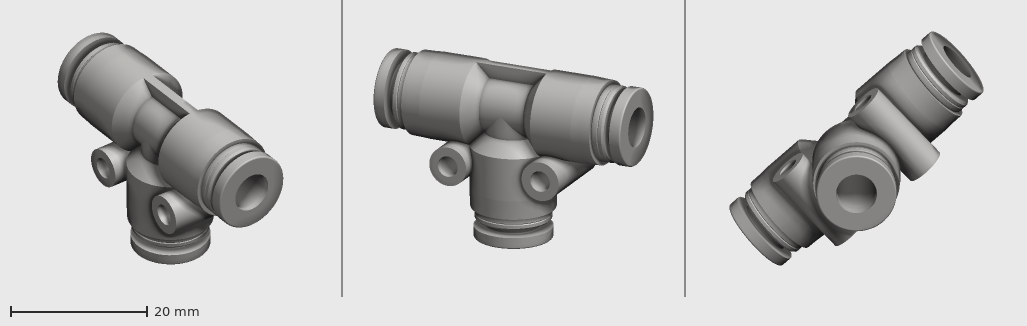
import cadquery as cq
import math

arm_length = 20.05
bore_diameter = 6.0

flange_radius = 5.9
flange_thickness = 1.75
flange_edge_fillet = 0.25
neck_radius = 4.05
neck_length = 1.1
neck_root_fillet = 0.2

ring_radius = 5.75
ring_length = 1.95
ring_edge_chamfer = 0.3
groove_depth = 0.12
groove_width = 2 * groove_depth
groove_setback = 0.8

body_diameter = 13.0
body_radius = body_diameter / 2
body_mouth_radius = 6.37
mouth_taper_length = 2.95
waist_radius = 4.35
body_inner_end = 5.74

web_thickness = 1.5

lug_diameter = 6.0
lug_hole_diameter = 3.2
lug_length = 13.5
lug_x = 7.5
lug_z = -8.2

flange_inner = arm_length - flange_thickness
ring_outer = flange_inner - neck_length
ring_inner = ring_outer - ring_length
groove_outer = ring_outer - groove_setback
groove_inner = groove_outer - groove_width
taper_start = ring_inner - mouth_taper_length
shoulder_end = body_inner_end - (body_radius - waist_radius)


def fillet_midpoint(center_radius, center_station, size, radial_side, axial_side):
    """Middle of a quarter-circle fillet, on the given side of its center."""
    offset = size * math.cos(math.pi / 4)
    return (center_radius + radial_side * offset, center_station + axial_side * offset)


def make_arm():
    """Solid arm revolved about Z, pointing to +Z and starting at the waist."""
    root_mid = fillet_midpoint(
        neck_radius + neck_root_fillet, flange_inner - neck_root_fillet, neck_root_fillet, -1, 1
    )
    flange_mid = fillet_midpoint(
        flange_radius - flange_edge_fillet, arm_length - flange_edge_fillet, flange_edge_fillet, 1, 1
    )
    profile = (
        cq.Workplane("XZ")
        .moveTo(0, shoulder_end)
        .lineTo(waist_radius, shoulder_end)
        .lineTo(body_radius, body_inner_end)
        .lineTo(body_radius, taper_start)
        .lineTo(body_mouth_radius, ring_inner)
        .lineTo(ring_radius - groove_depth, ring_inner)
        .lineTo(ring_radius, ring_inner + groove_depth)
        .lineTo(ring_radius, groove_inner)
        .lineTo(ring_radius - groove_depth, (groove_inner + groove_outer) / 2)
        .lineTo(ring_radius, groove_outer)
        .lineTo(ring_radius, ring_outer - ring_edge_chamfer)
        .lineTo(ring_radius - ring_edge_chamfer, ring_outer)
        .lineTo(neck_radius, ring_outer)
        .lineTo(neck_radius, flange_inner - neck_root_fillet)
        .threePointArc(root_mid, (neck_radius + neck_root_fillet, flange_inner))
        .lineTo(flange_radius, flange_inner)
        .lineTo(flange_radius, arm_length - flange_edge_fillet)
        .threePointArc(flange_mid, (flange_radius - flange_edge_fillet, arm_length))
        .lineTo(0, arm_length)
        .close()
    )
    return profile.revolve(360, (0, 0, 0), (0, 1, 0))


def make_cross(radius, reach):
    """Cylinder along the run, joined by one along the branch."""
    run = cq.Workplane("YZ", origin=(-reach, 0, 0)).circle(radius).extrude(2 * reach)
    branch = cq.Workplane("XY").circle(radius).extrude(-reach)
    return run.union(branch)


def make_web():
    """Thin web over the waist, its top flush with the body cylinder."""
    envelope = make_cross(body_radius, body_inner_end)
    plate = cq.Workplane("XY").rect(2 * body_inner_end, web_thickness).extrude(body_radius)
    return envelope.intersect(plate)


def lug_cylinders(diameter):
    """Pair of cylinders along Y at the lug centers."""
    return (
        cq.Workplane("XZ", origin=(0, lug_length / 2, 0))
        .pushPoints([(-lug_x, lug_z), (lug_x, lug_z)])
        .circle(diameter / 2)
        .extrude(lug_length)
    )


arm = make_arm()
body = make_cross(waist_radius, shoulder_end).union(make_web())
for turn in (-90, 90, 180):
    body = body.union(arm.rotate((0, 0, 0), (0, 1, 0), turn))
body = body.union(lug_cylinders(lug_diameter))
body = body.cut(make_cross(bore_diameter / 2, arm_length))
result = body.cut(lug_cylinders(lug_hole_diameter))